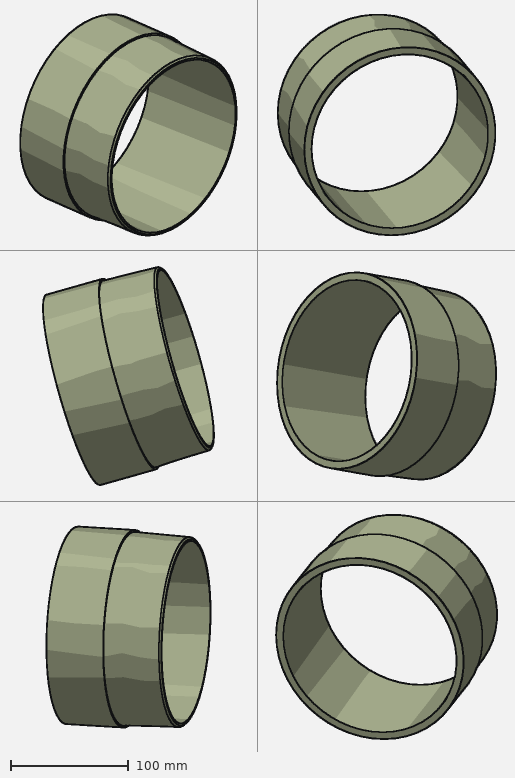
import cadquery as cq

total_length = 100.0
collar_length = total_length / 2
collar_radius = 84.2
wall = 6.5
bore_radius = collar_radius - wall
edge_break = 0.2

shoulder_height = 1.7
taper_drop = 1.5
lead_in = 1.7

spigot_root_radius = collar_radius - shoulder_height
spigot_tip_radius = spigot_root_radius - taper_drop

half_section = (
    cq.Workplane("XY")
    .moveTo(0, bore_radius)
    .lineTo(0, collar_radius - edge_break)
    .lineTo(edge_break, collar_radius)
    .lineTo(collar_length, collar_radius)
    .lineTo(collar_length, spigot_root_radius)
    .lineTo(total_length - lead_in, spigot_tip_radius)
    .lineTo(total_length, spigot_tip_radius - lead_in)
    .lineTo(total_length, bore_radius)
    .close()
)

result = half_section.revolve(360, (0, 0, 0), (1, 0, 0))